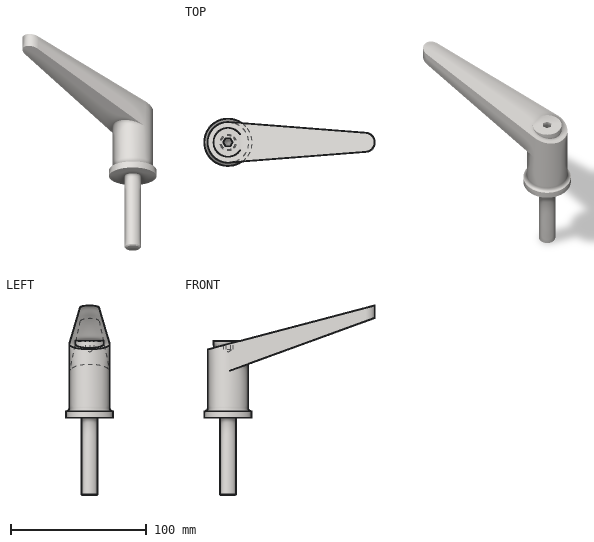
import cadquery as cq
import math

overall_height = 139.8
shaft_length = 56.9
shaft_radius = 6.0
shaft_chamfer = 0.8

flange_radius = 17.5
flange_height = 4.9
hub_radius = 15.0
blend_radius = flange_radius - hub_radius

tip_reach = 108.1
tip_radius = 7.1
tip_top_z = overall_height - shaft_length
hub_low_edge_z = 50.5
underside_start_z = 34.7
underside_angle = 20.0

cap_radius = 10.6
cap_top_z = 56.8
socket_across_flats = 6.0
socket_depth = 6.0
drill_half_angle = 59.0

tip_center_x = tip_reach - tip_radius
taper = math.asin((hub_radius - tip_radius) / tip_center_x)
hub_tangent = (hub_radius * math.sin(taper), hub_radius * math.cos(taper))
tip_tangent = (tip_center_x + tip_radius * math.sin(taper), tip_radius * math.cos(taper))
top_slope = (tip_top_z - hub_low_edge_z) / (tip_reach + hub_radius)


def top_z(x):
    """Height of the sloping top face at a given X."""
    return hub_low_edge_z + top_slope * (x + hub_radius)


def underside_z(x):
    """Height of the lever's sloping underside at a given X."""
    return underside_start_z + math.tan(math.radians(underside_angle)) * (x - hub_tangent[0])


def side_prism(points):
    """Extrude an XZ outline across the full width of the hub."""
    return cq.Workplane("XZ").polyline(points).close().extrude(hub_radius, both=True)


def make_shaft():
    shaft = cq.Workplane("XY").circle(shaft_radius).extrude(-shaft_length)
    return shaft.faces("<Z").chamfer(shaft_chamfer)


def make_hub():
    """Flange, concave blend and cylinder, cut off by the sloping top face."""
    blend_top_z = flange_height + blend_radius
    diagonal = blend_radius * math.sqrt(0.5)
    profile = (
        cq.Workplane("XZ")
        .lineTo(flange_radius, 0)
        .lineTo(flange_radius, flange_height)
        .threePointArc(
            (flange_radius - diagonal, blend_top_z - diagonal),
            (hub_radius, blend_top_z),
        )
        .lineTo(hub_radius, top_z(hub_radius))
        .lineTo(0, top_z(hub_radius))
        .close()
    )
    above_top_face = side_prism([
        (-hub_radius, top_z(-hub_radius)),
        (hub_radius, top_z(hub_radius)),
        (-hub_radius, top_z(hub_radius)),
    ])
    return profile.revolve(360, (0, 0, 0), (0, 1, 0)).cut(above_top_face)


def make_lever():
    """Tapered plan outline trimmed between the sloping underside and top face."""
    plan = (
        cq.Workplane("XY")
        .moveTo(*hub_tangent)
        .lineTo(*tip_tangent)
        .threePointArc((tip_reach, 0), (tip_tangent[0], -tip_tangent[1]))
        .lineTo(hub_tangent[0], -hub_tangent[1])
        .close()
        .extrude(tip_top_z)
    )
    start_x = hub_tangent[0]
    band = side_prism([
        (start_x, underside_z(start_x)),
        (tip_reach, underside_z(tip_reach)),
        (tip_reach, top_z(tip_reach)),
        (start_x, top_z(start_x)),
    ])
    return plan.intersect(band)


def make_cap():
    """Screw head that emerges from the sloping top face."""
    return cq.Workplane("XY").workplane(offset=underside_start_z).circle(cap_radius).extrude(
        cap_top_z - underside_start_z
    )


def make_socket():
    """Hexagonal socket with corners on X and a conical drill point at its bottom."""
    corner_radius = socket_across_flats / math.sqrt(3)
    floor_z = cap_top_z - socket_depth
    point_depth = corner_radius / math.tan(math.radians(drill_half_angle))
    hexagon = (
        cq.Workplane("XY")
        .workplane(offset=floor_z)
        .polygon(6, 2 * corner_radius)
        .extrude(tip_top_z - floor_z)
    )
    drill_point = cq.Workplane(
        cq.Solid.makeCone(corner_radius, 0, point_depth, cq.Vector(0, 0, floor_z), cq.Vector(0, 0, -1))
    )
    hexagon_below = hexagon.translate((0, 0, floor_z - tip_top_z))
    return hexagon.union(drill_point.intersect(hexagon_below))


result = (
    make_hub()
    .union(make_lever())
    .union(make_shaft())
    .union(make_cap())
    .cut(make_socket())
)